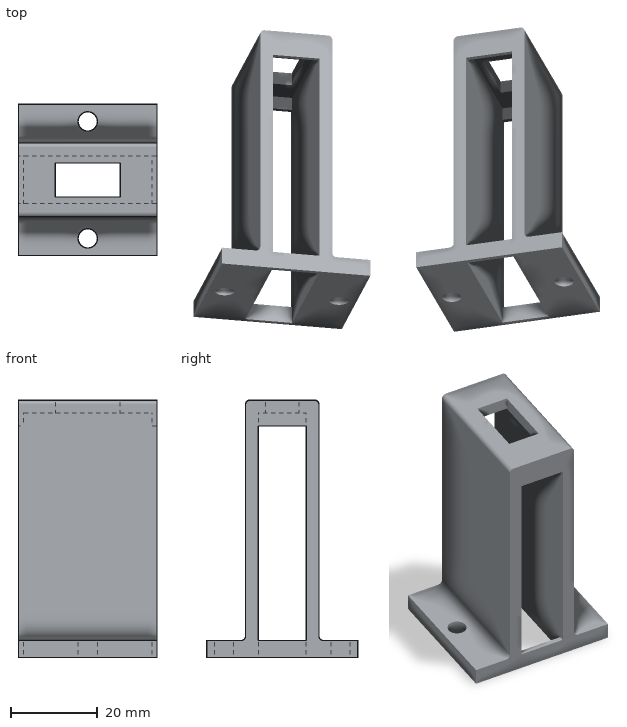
import cadquery as cq

length = 32.0
base_width = 35.0
base_thickness = 4.0
hole_diameter = 4.4
hole_spacing = 27.0

total_height = 59.5
tower_width = 17.0
cavity_width = 11.0
roof_thickness = 6.0
top_round = 1.0
foot_fillet = 1.0

window_length = 15.0
window_width = 7.8

shaft_rim = 1.2
shaft_cover = 3.0

tower_height = total_height - base_thickness
cavity_height = tower_height - roof_thickness


def centred_box(width, height, bottom, box_length=length):
    """Box centred on the Z axis, standing on the height `bottom`."""
    return (
        cq.Workplane("XY")
        .workplane(offset=bottom)
        .box(box_length, width, height, centered=(True, True, False))
    )


tower = centred_box(tower_width, tower_height, base_thickness)
tower = tower.edges("|X and >Z").fillet(top_round)
body = centred_box(base_width, base_thickness, 0).union(tower)

for side in (-1, 1):
    foot = cq.NearestToPointSelector((0, side * tower_width / 2, base_thickness))
    body = body.edges(foot).fillet(foot_fillet)

cavity = centred_box(cavity_width, cavity_height, base_thickness)
window = centred_box(window_width, shaft_cover, total_height - shaft_cover, window_length)
shaft = centred_box(cavity_width, total_height - shaft_cover, 0, length - 2 * shaft_rim)
mounting_holes = (
    cq.Workplane("XY")
    .pushPoints([(0, -hole_spacing / 2), (0, hole_spacing / 2)])
    .circle(hole_diameter / 2)
    .extrude(base_thickness)
)

result = body.cut(cavity).cut(window).cut(shaft).cut(mounting_holes)